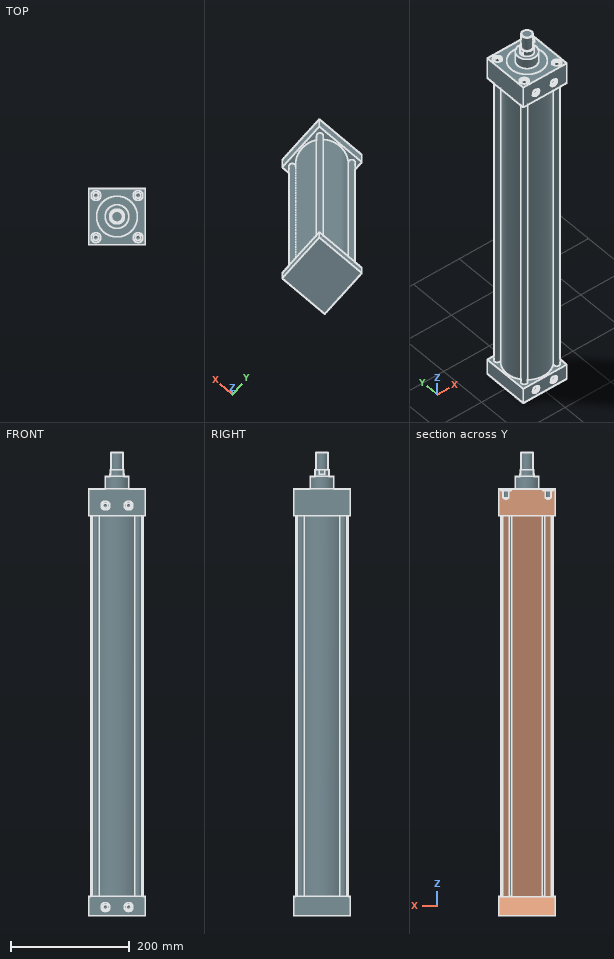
import cadquery as cq
import math

total_height = 781
rod_stickout = 41.0
boss_height = 21.0
head_height = 45.0
rear_cap_height = 33.0
boss_top = total_height - rod_stickout
head_top = boss_top - boss_height
head_bottom = head_top - head_height
barrel_length = head_bottom - rear_cap_height

cap_side = 95.0
boss_diameter = 40.0
register_diameter = 69.0
register_height = 0.15

barrel_diameter = 89.0
tie_rod_diameter = 12.0
tie_rod_spacing = 71.0

rod_diameter = 25.0
neck_diameter = 24.0
neck_height = 8.0
flat_width = 23.0
shoulder_height = 2.0
stud_diameter = 20.0
stud_length = 30.0
stud_chamfer = 1.0
stud_bottom = total_height - stud_length
neck_bottom = stud_bottom - neck_height

socket_diameter = 16.5
socket_core_diameter = 9.0
port_diameter = 15.0
port_core_diameter = 8.5
counterbore_depth = 3.0
core_depth = 12.0
drill_point_angle = 118
port_spacing = 39
head_port_height = 17.0
rear_port_height = 15.0


def cylinder(diameter, bottom, height):
    """Upright cylinder on the main axis."""
    return cq.Workplane("XY", origin=(0, 0, bottom)).circle(diameter / 2).extrude(height)


def cap_block(bottom, height):
    """Square block of an end cap."""
    return cq.Workplane("XY", origin=(0, 0, bottom)).rect(cap_side, cap_side).extrude(height)


def blind_hole(diameter, core_diameter):
    """Cutter for a counterbored, drill-pointed hole that opens at the origin and runs down -Z."""
    radius = diameter / 2
    core_radius = core_diameter / 2
    core_end = counterbore_depth + core_depth
    tip = core_end + core_radius / math.tan(math.radians(drill_point_angle / 2))
    profile = [
        (0, 0),
        (radius, 0),
        (radius, -counterbore_depth),
        (core_radius, -counterbore_depth),
        (core_radius, -core_end),
        (0, -tip),
    ]
    return cq.Workplane("XZ").polyline(profile).close().revolve(360, (0, 0), (0, 1))


def cut_ports(cap, z):
    """Cut the pair of ports into the -Y face of a cap."""
    port = blind_hole(port_diameter, port_core_diameter).rotate((0, 0, 0), (1, 0, 0), 90)
    for side in (-1, 1):
        cap = cap.cut(port.translate((side * port_spacing / 2, -cap_side / 2, z)))
    return cap


def make_rear_cap():
    return cut_ports(cap_block(0, rear_cap_height), rear_port_height)


def make_head():
    head = cap_block(head_bottom, head_height)
    head = head.union(cylinder(register_diameter, head_top, register_height))
    head = head.union(cylinder(boss_diameter, head_top, boss_height))
    head = head.cut(cylinder(rod_diameter, head_bottom, boss_top - head_bottom))
    socket = blind_hole(socket_diameter, socket_core_diameter)
    for x_side in (-1, 1):
        for y_side in (-1, 1):
            corner = (x_side * tie_rod_spacing / 2, y_side * tie_rod_spacing / 2, head_top)
            head = head.cut(socket.translate(corner))
    return cut_ports(head, head_bottom + head_port_height)


def make_barrel():
    """Round barrel; the tie rods run along its outside and are part of the same body."""
    tie_rods = (
        cq.Workplane("XY", origin=(0, 0, rear_cap_height))
        .rect(tie_rod_spacing, tie_rod_spacing, forConstruction=True)
        .vertices()
        .circle(tie_rod_diameter / 2)
        .extrude(barrel_length)
    )
    return cylinder(barrel_diameter, rear_cap_height, barrel_length).union(tie_rods)


def make_rod():
    shoulder_bottom = neck_bottom - shoulder_height
    shaft = cylinder(rod_diameter, head_bottom, shoulder_bottom - head_bottom)
    shoulder = (
        cq.Workplane("XY", origin=(0, 0, shoulder_bottom))
        .circle(rod_diameter / 2)
        .workplane(offset=shoulder_height)
        .circle(neck_diameter / 2)
        .loft(ruled=True)
    )
    flats = (
        cq.Workplane("XY", origin=(0, 0, neck_bottom))
        .rect(flat_width, rod_diameter)
        .extrude(neck_height)
    )
    neck = cylinder(neck_diameter, neck_bottom, neck_height).intersect(flats)
    stud = cylinder(stud_diameter, stud_bottom, stud_length).faces(">Z").chamfer(stud_chamfer)
    return shaft.union(shoulder).union(neck).union(stud)


rear_cap = make_rear_cap()
head = make_head()
barrel = make_barrel()
piston_rod = make_rod()

result = cq.Compound.makeCompound([rear_cap.val(), head.val(), barrel.val(), piston_rod.val()])